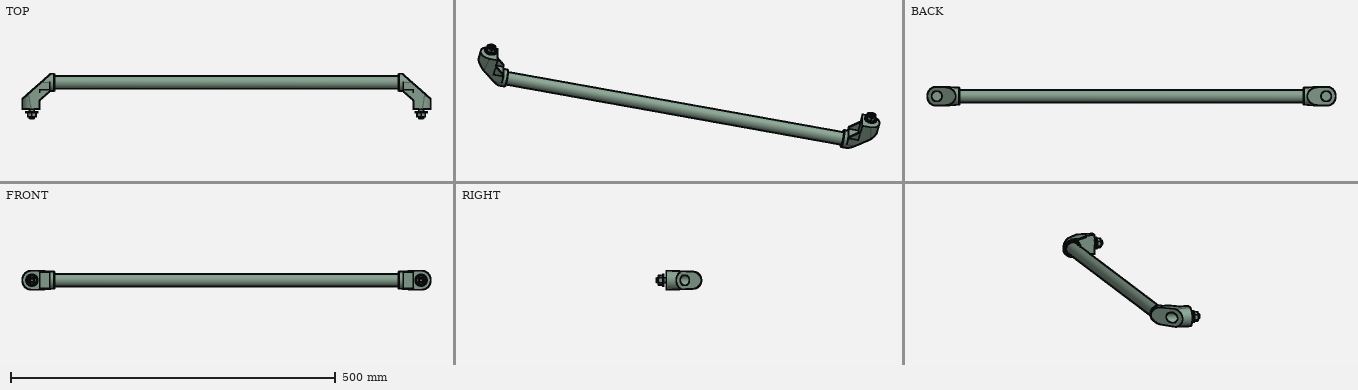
import cadquery as cq
import math

overall_length = 630.0
overall_depth = 69.49
half_length = overall_length / 2

bar_diameter = 20.0
collar_diameter = 27.0
collar_face_x = 265.0
collar_shoulder_x = 272.2
collar_chamfer = 1.0
bar_axis_y = overall_depth - collar_diameter / 2

body_height = 30.0
leg_inner_reach = 12.0
foot_y = 15.0
crank_angle = math.radians(41.5)
outer_slant_x = 270.9
inner_slant_start_y = 28.3

leg_radius = body_height / 2
screw_axis_x = half_length - leg_radius
leg_inner_x = screw_axis_x - leg_inner_reach
slant_slope = math.tan(crank_angle)
outer_slant_end_y = overall_depth - (half_length - outer_slant_x) * slant_slope
outer_slant_axis_x = outer_slant_x + (overall_depth - bar_axis_y) / slant_slope
inner_slant_end_y = inner_slant_start_y + (leg_inner_x - collar_shoulder_x) * slant_slope

pocket_height = 25.0
pocket_floor_y = 44.8

screw_hole_diameter = 16.0
screw_seat_depth = 10.0
screw_diameter = 8.0
screw_tip_chamfer = 1.2
screw_projection = 3.0
nut_across_flats = 13.0
nut_thickness = 6.5
nut_chamfer = 0.6
washer_diameter = 18.2
washer_thickness = 1.6

screw_seat_y = foot_y + screw_seat_depth
nut_corner_diameter = nut_across_flats / math.cos(math.pi / 6)
washer_y = screw_projection + nut_thickness


def cylinder_along_y(diameter, y_start, y_end):
    """Cylinder on the screw axis between two Y positions."""
    start = cq.Workplane("XZ", origin=(screw_axis_x, y_start, 0))
    return start.circle(diameter / 2).extrude(y_start - y_end)


def cylinder_along_x(diameter, x_start, x_end):
    """Cylinder on the bar axis between two X positions."""
    start = cq.Workplane("YZ", origin=(x_start, bar_axis_y, 0))
    return start.circle(diameter / 2).extrude(x_end - x_start)


def plate(outline):
    """XY outline extruded over the full body height, centred on Z = 0."""
    return cq.Workplane("XY").polyline(outline).close().extrude(leg_radius, both=True)


def box_between(x_start, x_end, y_start, y_end, height):
    """Box between two X and two Y positions, centred on Z = 0."""
    box = cq.Workplane("XY").box(
        x_end - x_start, y_end - y_start, height, centered=(False, False, True)
    )
    return box.translate((x_start, y_start, 0))


def make_crank():
    """Cranked body from the mounting face to the bar axis, half-round around the screw axis."""
    profile = plate(
        [
            (leg_inner_x, foot_y),
            (half_length, foot_y),
            (half_length, outer_slant_end_y),
            (outer_slant_axis_x, bar_axis_y),
            (collar_shoulder_x, bar_axis_y),
            (collar_shoulder_x, inner_slant_end_y),
            (leg_inner_x, inner_slant_start_y),
        ]
    )
    half_round = cylinder_along_y(body_height, foot_y, bar_axis_y)
    inner_side = box_between(collar_shoulder_x, screw_axis_x, foot_y, bar_axis_y, body_height)
    tapered_sides = (
        cq.Workplane("YZ")
        .polyline(
            [
                (foot_y, -leg_radius),
                (foot_y, leg_radius),
                (bar_axis_y, collar_diameter / 2),
                (bar_axis_y, -collar_diameter / 2),
            ]
        )
        .close()
        .extrude(half_length)
    )
    return profile.intersect(half_round.union(inner_side)).intersect(tapered_sides)


def make_collar():
    """Chamfered round collar whose back half runs on over the crank up to the outer slant."""
    collar = cylinder_along_x(collar_diameter, collar_face_x, half_length)
    collar = collar.faces("<X").chamfer(collar_chamfer)
    kept_region = plate(
        [
            (collar_face_x, foot_y),
            (collar_face_x, overall_depth),
            (outer_slant_x, overall_depth),
            (outer_slant_axis_x, bar_axis_y),
            (collar_shoulder_x, bar_axis_y),
            (collar_shoulder_x, foot_y),
        ]
    )
    return collar.intersect(kept_region)


def make_pocket():
    """Cutter for the pocket, flush with the collar shoulder and the inner face of the leg."""
    return box_between(collar_shoulder_x, leg_inner_x, foot_y, pocket_floor_y, pocket_height)


def make_screw_hole():
    """Cutter for the blind hole from the outer slant down to the screw seat."""
    return cylinder_along_y(screw_hole_diameter, screw_seat_y, overall_depth)


def make_nut():
    """Hexagon nut with two corners on the Z direction and its free end chamfered."""
    hexagon = (
        cq.Workplane("XZ", origin=(screw_axis_x, washer_y, 0))
        .transformed(rotate=(0, 0, 90))
        .polygon(6, nut_corner_diameter)
        .extrude(nut_thickness)
    )
    blank = cylinder_along_y(nut_corner_diameter, screw_projection, washer_y)
    return hexagon.intersect(blank.faces("<Y").chamfer(nut_chamfer))


def make_fastener():
    """Screw shank with washer and nut in front of the mounting face."""
    screw = cylinder_along_y(screw_diameter, 0, screw_seat_y)
    screw = screw.faces("<Y").chamfer(screw_tip_chamfer)
    washer = cylinder_along_y(washer_diameter, washer_y, washer_y + washer_thickness)
    return screw.union(washer).union(make_nut())


def make_bracket():
    """Bracket at the +X end of the bar."""
    body = make_crank().union(make_collar())
    return body.cut(make_pocket()).cut(make_screw_hole()).union(make_fastener())


bracket = make_bracket()
bar = cylinder_along_x(bar_diameter, -collar_face_x, collar_face_x)
result = bar.union(bracket).union(bracket.mirror("YZ"))